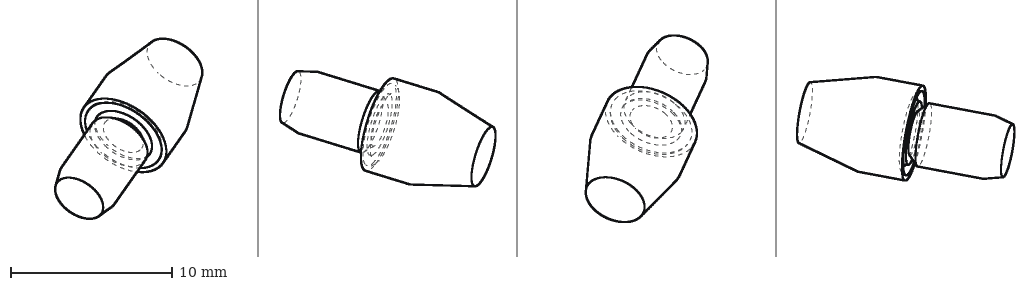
import cadquery as cq
import math

total_length = 13.0
head_face_y = 6.0
head_taper_y = 9.0
tip_length = 1.2
neck_length = 0.61

head_radius = 3.0
pin_radius = 2.0
groove_outer_radius = 2.66

taper_angle = math.radians(15)
tip_radius = pin_radius - tip_length * math.tan(taper_angle)
head_end_radius = head_radius - (total_length - head_taper_y) * math.tan(taper_angle)
neck_radius = pin_radius - neck_length

groove_radius = (groove_outer_radius - pin_radius) / 2
groove_centre_radius = pin_radius + groove_radius

half_section = (
    cq.Workplane("XY")
    .lineTo(tip_radius, 0)
    .lineTo(pin_radius, tip_length)
    .lineTo(pin_radius, head_face_y - neck_length)
    .lineTo(neck_radius, head_face_y)
    .lineTo(pin_radius, head_face_y)
    .threePointArc(
        (groove_centre_radius, head_face_y + groove_radius),
        (groove_outer_radius, head_face_y),
    )
    .lineTo(head_radius, head_face_y)
    .lineTo(head_radius, head_taper_y)
    .lineTo(head_end_radius, total_length)
    .lineTo(0, total_length)
    .close()
)

result = half_section.revolve(360, (0, 0, 0), (0, 1, 0))